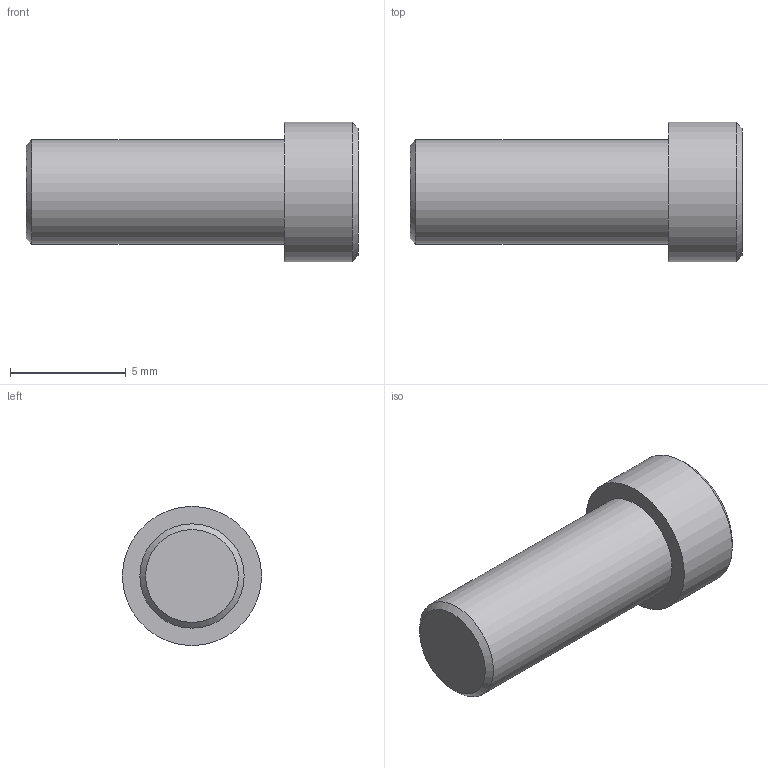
import cadquery as cq

total_length = 14.32
shank_diameter = 4.5
head_diameter = 6.0
head_length = 3.175
chamfer_size = 0.25

shank_length = total_length - head_length


def make_shank():
    """Cylindrical shank along +X with a chamfered tip at X = 0."""
    shank = cq.Workplane("YZ").circle(shank_diameter / 2).extrude(shank_length)
    return shank.faces("<X").chamfer(chamfer_size)


def make_head():
    """Larger cylindrical head with a chamfered outer end."""
    blank = cq.Workplane("YZ", origin=(shank_length, 0, 0))
    head = blank.circle(head_diameter / 2).extrude(head_length)
    return head.faces(">X").chamfer(chamfer_size)


result = make_shank().union(make_head())